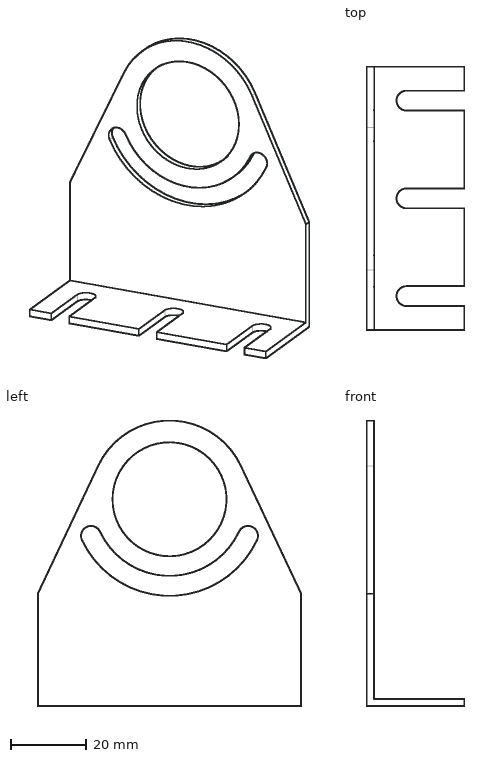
import cadquery as cq
import math

height = 75.9
width = 70.0
foot_length = 26.0
thickness = 2.0

shoulder_height = 29.9
crown_radius = 20.95
bore_radius = 15.1
crown_z = height - crown_radius

slot_width = 5.25
arc_slot_radius = 23.0
arc_slot_end_angle = 25.0
foot_slot_start = 8.0
foot_slot_pitch = 26.0


def polar_point(radius, angle):
    """Point in the upright (Y, Z) at an angle in degrees about the bore centre."""
    a = math.radians(angle)
    return (radius * math.cos(a), crown_z + radius * math.sin(a))


def make_upright():
    """Plate whose sloping sides run tangent into the round crown."""
    half_width = width / 2
    drop = crown_z - shoulder_height
    shoulder_distance = math.hypot(half_width, drop)
    tangent_angle = math.degrees(
        math.acos(crown_radius / shoulder_distance) - math.atan2(drop, half_width)
    )
    return (
        cq.Workplane("YZ")
        .moveTo(-half_width, 0)
        .lineTo(half_width, 0)
        .lineTo(half_width, shoulder_height)
        .lineTo(*polar_point(crown_radius, tangent_angle))
        .threePointArc((0, height), polar_point(crown_radius, 180 - tangent_angle))
        .lineTo(-half_width, shoulder_height)
        .close()
        .extrude(thickness)
    )


def make_bore():
    return cq.Workplane("YZ").center(0, crown_z).circle(bore_radius).extrude(thickness)


def make_arc_slot():
    """Curved slot below the bore, with rounded ends."""
    inner = arc_slot_radius - slot_width / 2
    outer = arc_slot_radius + slot_width / 2
    right = -arc_slot_end_angle
    left = arc_slot_end_angle - 180
    band = (
        cq.Workplane("YZ")
        .moveTo(*polar_point(outer, left))
        .threePointArc(polar_point(outer, -90), polar_point(outer, right))
        .lineTo(*polar_point(inner, right))
        .threePointArc(polar_point(inner, -90), polar_point(inner, left))
        .close()
        .extrude(thickness)
    )
    ends = (
        cq.Workplane("YZ")
        .pushPoints([polar_point(arc_slot_radius, angle) for angle in (left, right)])
        .circle(slot_width / 2)
        .extrude(thickness)
    )
    return band.union(ends)


def make_foot():
    return cq.Workplane("XY").box(foot_length, width, thickness, centered=(False, True, False))


def make_foot_slot(y):
    """Slot with a round inner end, open at the free edge of the foot."""
    radius = slot_width / 2
    round_center = foot_slot_start + radius
    return (
        cq.Workplane("XY")
        .moveTo(foot_length, y - radius)
        .lineTo(round_center, y - radius)
        .threePointArc((foot_slot_start, y), (round_center, y + radius))
        .lineTo(foot_length, y + radius)
        .close()
        .extrude(thickness)
    )


result = make_upright().union(make_foot())
result = result.cut(make_bore()).cut(make_arc_slot())
for slot_y in (-foot_slot_pitch, 0, foot_slot_pitch):
    result = result.cut(make_foot_slot(slot_y))